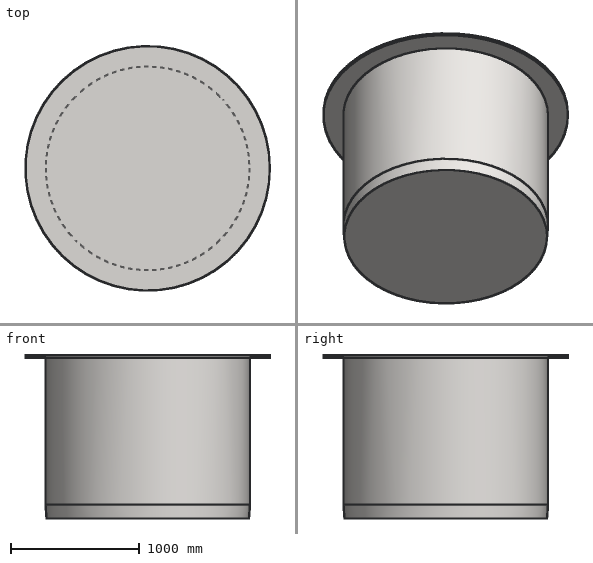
import cadquery as cq

total_height = 1270.0
flange_diameter = 1900.0
flange_thickness = 20.0
drum_diameter = 1590.0

skirt_height = 100.0
land_height = 10.0
skirt_bottom_diameter = 1575.0

base_height = skirt_height + land_height
drum_height = total_height - flange_thickness - base_height


def make_flanged_drum():
    """Round drum standing on the base, with a wide flat flange on top."""
    drum = cq.Workplane("XY").workplane(offset=base_height).circle(drum_diameter / 2).extrude(drum_height)
    return drum.faces(">Z").workplane().circle(flange_diameter / 2).extrude(flange_thickness)


def make_base():
    """Closing base below the drum, revolved from its half section."""
    bottom_radius = skirt_bottom_diameter / 2
    top_radius = drum_diameter / 2
    half_section = (
        cq.Workplane("XZ")
        .moveTo(0, 0)
        .lineTo(bottom_radius, 0)
        .lineTo(top_radius, skirt_height)
        .lineTo(top_radius, base_height)
        .lineTo(0, base_height)
        .close()
    )
    return half_section.revolve(360, (0, 0, 0), (0, 1, 0))


flanged_drum = make_flanged_drum()
base = make_base()

result = cq.Compound.makeCompound([flanged_drum.val(), base.val()])